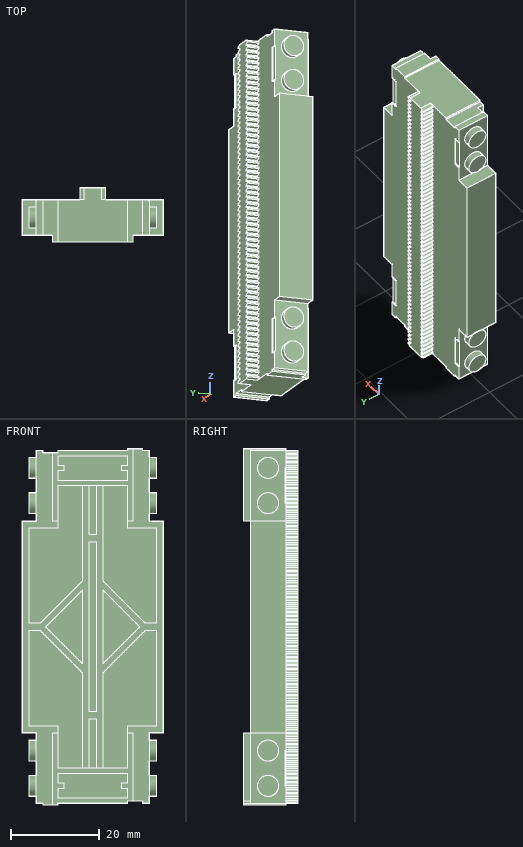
import cadquery as cq
import math


body_half_length = 40.0
mid_half_length = 24.0
mid_half_width = 16.0
end_half_width = 12.85
body_depth = 8.1

floor_thickness = 1.5
wall = 1.5

lip_height = 1.5
frame_half_width = 9.1
frame_wall = 1.2
frame_inner_half_width = frame_half_width - frame_wall
front_depth = body_depth + lip_height

compartment_outer_z = body_half_length - frame_wall
compartment_inner_z = 33.2
compartment_mid_z = (compartment_outer_z + compartment_inner_z) / 2
cross_wall_inner_z = compartment_inner_z - frame_wall
stub_length = 1.45
stub_thickness = 1.2

spine_half_width = 2.35
spine_slot_half_width = 0.9
bridge_z = 20.0
bridge_thickness = 1.7

brace_thickness = 1.45
brace_inner_reach = 10.7
brace_outer_reach = brace_inner_reach + brace_thickness * math.sqrt(2)
strut_thickness = 1.7

pin_diameter = 4.8
pin_length = 1.6
pin_y = -body_depth / 2
pin_heights = (28.0, 36.0)

edge_recess_depth = 0.25
edge_recess_width = 1.5

key_inner_x = frame_inner_half_width
key_outer_x = 11.3
top_tongue_height = 0.4
bottom_tongue_height = 0.4
groove_depth = 0.5

rack_height = 2.75
rack_half_width = 2.9
tooth_count = 65
tooth_height = 0.9
tooth_root_width = 1.0
flank_rise = 0.3
tooth_pitch = (2 * body_half_length - tooth_root_width) / (tooth_count - 1)


def box(x_range, y_range, z_range):
    """Axis-aligned box spanning the given (low, high) ranges."""
    (x0, x1), (y0, y1), (z0, z1) = x_range, y_range, z_range
    solid = cq.Workplane("XY").box(x1 - x0, y1 - y0, z1 - z0, centered=False)
    return solid.translate((x0, y0, z0))


def centred_box(half_width, y_range, half_length):
    """Box centred on X and Z."""
    return box((-half_width, half_width), y_range, (-half_length, half_length))


def plate(points, y_front, y_back):
    """Closed XZ outline filled between two Y positions."""
    outline = cq.Workplane("XZ", origin=(0, y_back, 0)).polyline(points).close()
    return outline.extrude(y_back - y_front)


def on_both_sides(solid):
    """The solid together with its mirror image across the YZ plane."""
    return solid.union(solid.mirror("YZ"))


def on_both_ends(solid):
    """The solid together with its mirror image across the XY plane."""
    return solid.union(solid.mirror("XY"))


def make_outer_block():
    middle = centred_box(mid_half_width, (-body_depth, 0), mid_half_length)
    ends = centred_box(end_half_width, (-body_depth, 0), body_half_length)
    frame = box(
        (-frame_half_width, frame_half_width),
        (-front_depth, 0),
        (mid_half_length, body_half_length),
    )
    return middle.union(ends).union(on_both_ends(frame))


def make_hollows():
    hollow_y = (-front_depth, -floor_thickness)
    middle = centred_box(mid_half_width - wall, hollow_y, mid_half_length - wall)
    neck = centred_box(frame_inner_half_width, hollow_y, cross_wall_inner_z)
    compartment = box(
        (-frame_inner_half_width, frame_inner_half_width),
        hollow_y,
        (compartment_inner_z, compartment_outer_z),
    )
    stub = box(
        (frame_inner_half_width - stub_length, frame_inner_half_width),
        hollow_y,
        (compartment_mid_z - stub_thickness / 2, compartment_mid_z + stub_thickness / 2),
    )
    compartment = compartment.cut(on_both_sides(stub))
    return middle.union(neck).union(on_both_ends(compartment))


def make_spine():
    spine_y = (-body_depth, -floor_thickness)
    rib = box(
        (spine_slot_half_width, spine_half_width),
        spine_y,
        (-cross_wall_inner_z, cross_wall_inner_z),
    )
    bridge = box(
        (-spine_slot_half_width, spine_slot_half_width),
        spine_y,
        (bridge_z - bridge_thickness / 2, bridge_z + bridge_thickness / 2),
    )
    return on_both_sides(rib).union(on_both_ends(bridge))


def make_bracing():
    def half_diamond(reach):
        rise = reach - spine_half_width
        corners = [(spine_half_width, rise), (reach, 0), (spine_half_width, -rise)]
        return plate(corners, -body_depth, -floor_thickness)

    brace = half_diamond(brace_outer_reach)
    strut = box(
        (brace_inner_reach, mid_half_width - wall),
        (-body_depth, -floor_thickness),
        (-strut_thickness / 2, strut_thickness / 2),
    )
    return on_both_sides(brace.union(strut).cut(half_diamond(brace_inner_reach)))


def make_pins():
    pins = (
        cq.Workplane("YZ", origin=(end_half_width, 0, 0))
        .pushPoints([(pin_y, z) for z in pin_heights])
        .circle(pin_diameter / 2)
        .extrude(pin_length)
    )
    return on_both_ends(on_both_sides(pins))


def make_edge_recesses():
    recess = box(
        (end_half_width - edge_recess_width, end_half_width),
        (-edge_recess_depth, 0),
        pin_heights,
    )
    return on_both_ends(on_both_sides(recess))


def end_key(side, z_range):
    """Block on one side of an end face; side is +1 for +X and -1 for -X."""
    x_range = sorted((side * key_inner_x, side * key_outer_x))
    key = box(x_range, (-body_depth, 0), z_range)
    lip_x_range = sorted((side * key_inner_x, side * frame_half_width))
    return key.union(box(lip_x_range, (-front_depth, 0), z_range))


def make_tongues():
    top = end_key(1, (body_half_length, body_half_length + top_tongue_height))
    bottom = end_key(-1, (-body_half_length - bottom_tongue_height, -body_half_length))
    return top.union(bottom)


def make_grooves():
    top = end_key(-1, (body_half_length - groove_depth, body_half_length))
    bottom = end_key(1, (-body_half_length, -body_half_length + groove_depth))
    return top.union(bottom)


def make_rack():
    root_x = rack_half_width - tooth_height
    edge = []
    for index in range(tooth_count):
        z = -body_half_length + index * tooth_pitch
        edge += [
            (root_x, z),
            (rack_half_width, z + flank_rise),
            (rack_half_width, z + tooth_root_width - flank_rise),
            (root_x, z + tooth_root_width),
        ]
    mirrored_edge = [(-x, z) for x, z in reversed(edge)]
    return plate(edge + mirrored_edge, 0, rack_height)


result = (
    make_outer_block()
    .cut(make_hollows())
    .union(make_spine())
    .union(make_bracing())
    .union(make_pins())
    .cut(make_edge_recesses())
    .cut(make_grooves())
    .union(make_tongues())
    .union(make_rack())
)